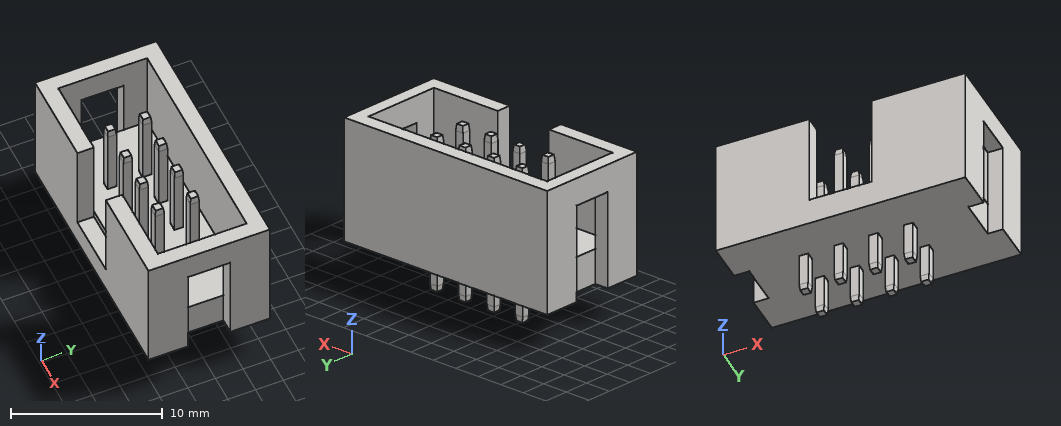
import cadquery as cq


body_length = 18.1
body_width = 8.8
body_height = 8.9
end_wall = 1.1
side_wall = 1.2
floor_thickness = 2.53

notch_width = 4.52
notch_bottom = 2.0

slot_width = 3.04
slot_top = 6.93

pins_per_row = 4
row_count = 2
pin_pitch = 2.53
pin_width = 0.65
pin_tail = 2.9
pin_recess = 0.69
tip_length = 0.47
tip_inset = 0.05
pin_shift_x = -0.172


def make_box(length, width, bottom, top):
    """Box centred on the Z axis between two heights."""
    return (
        cq.Workplane("XY")
        .workplane(offset=bottom)
        .rect(length, width)
        .extrude(top - bottom)
    )


def make_housing():
    """Open-topped box with the polarising notch and the end slots."""
    cavity = make_box(
        body_length - 2 * end_wall, body_width - 2 * side_wall, floor_thickness, body_height
    )
    notch = make_box(notch_width, side_wall, notch_bottom, body_height)
    notch = notch.translate((0, (side_wall - body_width) / 2, 0))
    housing = make_box(body_length, body_width, 0, body_height).cut(cavity).cut(notch)

    slot = make_box(end_wall, slot_width, 0, slot_top)
    slot_x = (body_length - end_wall) / 2
    for end in (-1, 1):
        housing = housing.cut(slot.translate((end * slot_x, 0, 0)))
    return housing


def make_tip(base_z, direction):
    """Tapered pin end starting at base_z and pointing up (+1) or down (-1)."""
    end_width = pin_width - 2 * tip_inset
    return (
        cq.Workplane("XY")
        .workplane(offset=base_z)
        .rect(pin_width, pin_width)
        .workplane(offset=direction * tip_length)
        .rect(end_width, end_width)
        .loft()
    )


def make_pin():
    """Square pin on the Z axis with both ends tapered."""
    shank_bottom = tip_length - pin_tail
    shank_top = body_height - pin_recess - tip_length
    shank = make_box(pin_width, pin_width, shank_bottom, shank_top)
    return shank.union(make_tip(shank_top, 1)).union(make_tip(shank_bottom, -1))


result = make_housing()
pin = make_pin()
for column in range(pins_per_row):
    pin_x = pin_shift_x + (column - (pins_per_row - 1) / 2) * pin_pitch
    for row in range(row_count):
        pin_y = (row - (row_count - 1) / 2) * pin_pitch
        result = result.union(pin.translate((pin_x, pin_y, 0)))